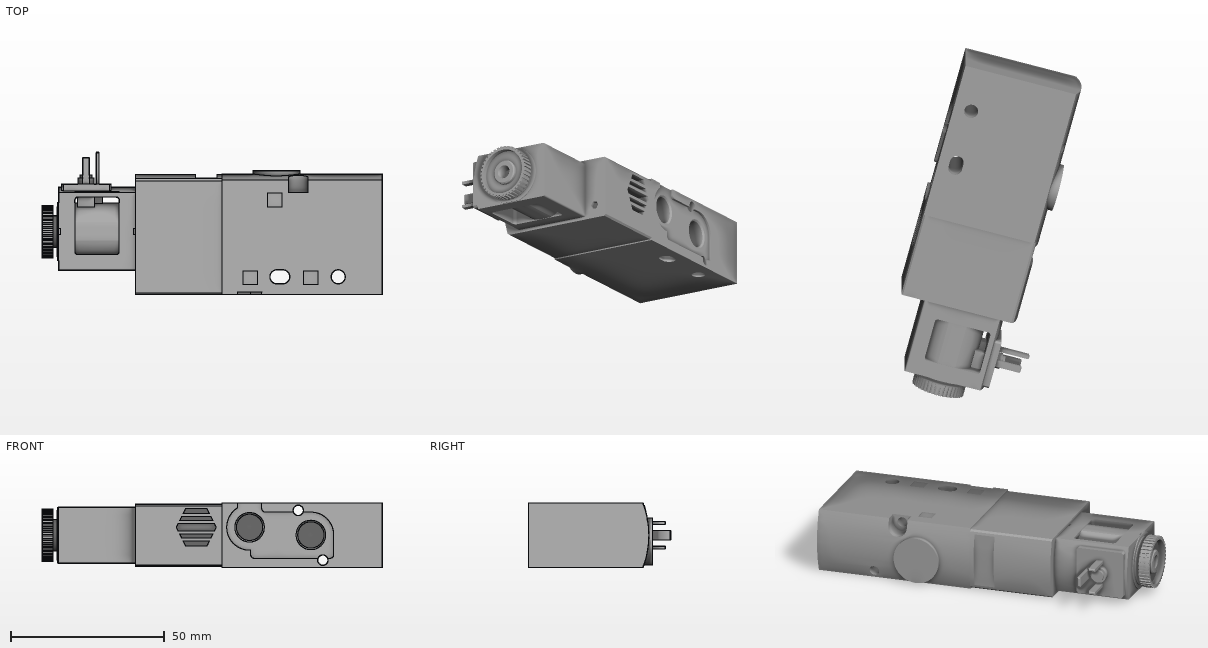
import cadquery as cq
import math


body_length = 52.3
body_half_height = 10.55
pilot_length = 28.1
pilot_half_height = 10.15
bottom_y = -20.5
shoulder_y = 16.8
pilot_shoulder_y = 17.1
crown_y = 18.7
edge_chamfer = 0.55

coil_length = 25.0
coil_half_height = 9.15
coil_bottom_y = -12.6
coil_shoulder_y = 12.8
coil_crown_y = 14.5
coil_bottom_fillet = 0.5
coil_end_x = -pilot_length - coil_length

stem_diameter = 8.0
knob_end_x = -58.5

mount_hole_diameter = 3.3
upper_mount_hole = (24.9, 8.1)
lower_mount_hole = (32.9, -8.1)

port_diameter = 8.57
port_mouth_diameter = 9.6
port_depth = 12.0
port_recess_depth = 0.9
exhaust_port = (9.05, 2.6)
supply_port = (29.0, 0.1)

screw_center = (-16.2, -5.8)
screw_head_diameter = 5.5
screw_head_length = 3.0
screw_shank_diameter = 3.0
screw_thread_length = 6.0
screw_socket_width = 2.4
screw_socket_depth = 1.5


def crowned_block(x_start, length, low_y, side_y, top_y, half_height):
    """Block along +X with a flat -Y face and an arched +Y face."""
    return (
        cq.Workplane("YZ", origin=(x_start, 0, 0))
        .moveTo(low_y, -half_height)
        .lineTo(side_y, -half_height)
        .threePointArc((top_y, 0), (side_y, half_height))
        .lineTo(low_y, half_height)
        .close()
        .extrude(length)
    )


def x_cylinder(x_start, x_end, diameter, y=0.0, z=0.0):
    """Cylinder along X between two X positions."""
    return (
        cq.Workplane("YZ", origin=(x_start, y, z))
        .circle(diameter / 2)
        .extrude(x_end - x_start)
    )


def y_cylinder(y_start, y_end, diameter, x, z):
    """Cylinder along Y between two Y positions."""
    solid = cq.Solid.makeCylinder(
        diameter / 2, y_end - y_start, cq.Vector(x, y_start, z), cq.Vector(0, 1, 0)
    )
    return cq.Workplane(solid)


def block(x_range, y_range, z_range):
    """Axis-aligned box given by its (low, high) limits."""
    sizes = [high - low for low, high in (x_range, y_range, z_range)]
    corner = (x_range[0], y_range[0], z_range[0])
    return cq.Workplane("XY", origin=corner).box(*sizes, centered=False)


def screw_thread():
    """Shank of the fixing screw, from under its head into the valve body."""
    return x_cylinder(
        -pilot_length + screw_head_length, screw_thread_length, screw_shank_diameter, *screw_center
    )


def screw_head():
    """Cylindrical head of the fixing screw, flush with the pilot end face."""
    return x_cylinder(
        -pilot_length, -pilot_length + screw_head_length, screw_head_diameter, *screw_center
    )


def gasket_recess():
    """Recess around the two ports on the -Y face, open to the top face."""
    radius = 7.45
    corner = 1.2
    neck_left = 5.2
    neck_right = 13.0
    step_x = 9.4
    floor_z = -7.5
    port_x, port_z = exhaust_port
    supply_x, supply_z = supply_port
    right_x = supply_x + radius
    upper_edge_z = supply_z + radius
    neck_z = port_z + math.sqrt(radius**2 - (neck_left - port_x) ** 2)
    step_z = port_z - math.sqrt(radius**2 - (step_x - port_x) ** 2)
    diagonal = radius * math.sqrt(0.5)
    return (
        cq.Workplane("XZ", origin=(0, bottom_y + port_recess_depth, 0))
        .moveTo(neck_left, body_half_height)
        .lineTo(neck_left, neck_z)
        .threePointArc((port_x - radius, port_z), (step_x, step_z))
        .lineTo(step_x, floor_z + corner)
        .radiusArc((step_x + corner, floor_z), -corner)
        .lineTo(right_x - corner, floor_z)
        .radiusArc((right_x, floor_z + corner), -corner)
        .lineTo(right_x, supply_z)
        .threePointArc((supply_x + diagonal, supply_z + diagonal), (supply_x, upper_edge_z))
        .lineTo(neck_right + corner, upper_edge_z)
        .radiusArc((neck_right, upper_edge_z + corner), corner)
        .lineTo(neck_right, body_half_height)
        .close()
        .extrude(port_recess_depth)
    )


def port(center):
    """Blind port bored from the -Y face, with a chamfered mouth at the recess floor."""
    recess_floor_y = bottom_y + port_recess_depth
    mouth_depth = (port_mouth_diameter - port_diameter) / 2
    mouth = cq.Solid.makeCone(
        port_mouth_diameter / 2,
        port_diameter / 2,
        mouth_depth,
        cq.Vector(center[0], recess_floor_y, center[1]),
        cq.Vector(0, 1, 0),
    )
    bore = y_cylinder(bottom_y, bottom_y + port_depth, port_diameter, *center)
    return bore.union(cq.Workplane(mouth))


def mount_counterbore():
    """Counterbore of the upper mounting hole, open through the top face."""
    diameter = 6.4
    floor_y = 12.8
    x, z = upper_mount_hole
    slot = block((x - diameter / 2, x + diameter / 2), (floor_y, crown_y), (z, body_half_height))
    return y_cylinder(floor_y, crown_y, diameter, x, z).union(slot)


def top_holes():
    """Round hole and matching slot through the body along Z."""
    diameter = 4.5
    slot_length = 6.4
    hole_y = -14.7
    slot_x = 18.9
    hole_x = 37.9
    plane = cq.Workplane("XY", origin=(0, hole_y, -body_half_height))
    hole = plane.center(hole_x, 0).circle(diameter / 2).extrude(2 * body_half_height)
    slot = plane.center(slot_x, 0).slot2D(slot_length, diameter).extrude(2 * body_half_height)
    return hole.union(slot)


def label_pads():
    """Shallow rectangular label pockets on the top face."""
    length = 4.7
    width = 4.5
    depth = 0.2
    centers = [(9.3, -15.0), (28.9, -15.0), (17.3, 10.3)]
    return (
        cq.Workplane("XY", origin=(0, 0, body_half_height - depth))
        .pushPoints(centers)
        .rect(length, width)
        .extrude(depth)
    )


def make_valve_body():
    boss_diameter = 15.4
    boss_center = (17.8, -2.0)
    boss_top_y = 19.9
    body = crowned_block(0, body_length, bottom_y, shoulder_y, crown_y, body_half_height)
    body = body.union(y_cylinder(shoulder_y, boss_top_y, boss_diameter, *boss_center))
    body = body.cut(gasket_recess())
    for center in (exhaust_port, supply_port):
        body = body.cut(port(center))
    for center in (upper_mount_hole, lower_mount_hole):
        body = body.cut(y_cylinder(bottom_y, crown_y, mount_hole_diameter, *center))
    return body.cut(mount_counterbore()).cut(top_holes()).cut(label_pads()).cut(screw_thread())


def vent_grille():
    """Five parallel slots on the -Y face whose ends follow a hexagon."""
    center_x = -8.3
    center_z = exhaust_port[1]
    depth = 4.0
    half_width = 6.5
    taper = 0.5
    outer_slots = [(2.17, 3.5), (4.5, 6.17)]
    middle_half_height = 1.17

    def half_width_at(height):
        return half_width - taper * abs(height)

    plane = cq.Workplane("XZ", origin=(center_x, bottom_y + depth, center_z))
    middle_end = half_width_at(middle_half_height)
    grille = plane.polyline([
        (-middle_end, -middle_half_height),
        (middle_end, -middle_half_height),
        (half_width, 0),
        (middle_end, middle_half_height),
        (-middle_end, middle_half_height),
        (-half_width, 0),
    ]).close().extrude(depth)
    for near, far in outer_slots:
        for side in (1, -1):
            slot = plane.polyline([
                (-half_width_at(near), side * near),
                (half_width_at(near), side * near),
                (half_width_at(far), side * far),
                (-half_width_at(far), side * far),
            ]).close().extrude(depth)
            grille = grille.union(slot)
    return grille


def make_pilot_housing():
    recess_x = (-8.5, -1.6)
    recess_floor_y = 17.5
    housing = crowned_block(
        -pilot_length, pilot_length, bottom_y, pilot_shoulder_y, crown_y, pilot_half_height
    )
    housing = housing.edges("|X").chamfer(edge_chamfer)
    housing = housing.cut(
        block(recess_x, (recess_floor_y, crown_y), (-pilot_half_height, pilot_half_height))
    )
    return housing.cut(vent_grille()).cut(screw_head()).cut(screw_thread())


def make_screw():
    socket = (
        cq.Workplane("YZ", origin=(-pilot_length, *screw_center))
        .polygon(6, screw_socket_width / math.cos(math.pi / 6))
        .extrude(screw_socket_depth)
    )
    return screw_head().union(screw_thread()).cut(socket)


window_x = (-47.8, -33.4)
window_y = (-7.5, 11.2)
window_corner = 1.0
ledge_z = 6.2


def winding():
    """Winding barrel seen in the window, flattened towards +Z and -Z."""
    radius = 9.4
    blend_y = 3.0
    flat_y = 1.35
    flat_z = 9.05
    blend_z = math.sqrt(radius**2 - blend_y**2)
    mid_y = (blend_y + flat_y) / 2
    mid_z = flat_z - (flat_z - blend_z) / 4
    return (
        cq.Workplane("YZ", origin=(window_x[0], 0, 0))
        .moveTo(-flat_y, flat_z)
        .lineTo(flat_y, flat_z)
        .threePointArc((mid_y, mid_z), (blend_y, blend_z))
        .threePointArc((radius, 0), (blend_y, -blend_z))
        .threePointArc((mid_y, -mid_z), (flat_y, -flat_z))
        .lineTo(-flat_y, -flat_z)
        .threePointArc((-mid_y, -mid_z), (-blend_y, -blend_z))
        .threePointArc((-radius, 0), (-blend_y, blend_z))
        .threePointArc((-mid_y, mid_z), (-flat_y, flat_z))
        .close()
        .extrude(window_x[1] - window_x[0])
    )


def ledge_pocket():
    """Undercut behind the +Y window edge, with a ledge level with the terminal carrier."""
    back_y = 13.0
    ceiling_z = 7.9
    return block(window_x, (window_y[1], back_y), (ledge_z, ceiling_z))


def coil_window():
    """Window through the coil frame along Z."""
    length = window_x[1] - window_x[0]
    width = window_y[1] - window_y[0]
    center = (sum(window_x) / 2, sum(window_y) / 2, 0)
    return (
        cq.Workplane("XY", origin=center)
        .rect(length, width)
        .extrude(coil_half_height, both=True)
        .edges("|Z")
        .fillet(window_corner)
    )


slab_x = (-52.1, -36.0)
slab_top_y = 15.5
slab_half_height = 7.85
slab_corner = 0.6
earth_x = -40.4
blade_x = -44.2


def blade(x, z, x_width, z_width, top_y):
    """Flat contact blade along +Y with a chamfered tip."""
    tip_chamfer = 0.3
    contact = block(
        (x - x_width / 2, x + x_width / 2),
        (coil_shoulder_y, top_y),
        (z - z_width / 2, z + z_width / 2),
    )
    return contact.faces(">Y").edges().chamfer(tip_chamfer)


def terminals():
    """Slab, stepped clamp seat, two contact blades and the earth blade."""
    blade_spacing = 8.0
    blade_width = 2.2
    blade_thickness = 1.0
    blade_top_y = 24.2
    earth_width = 3.2
    earth_top_y = 25.95
    seat_steps = [(5.3, 17.5), (4.0, 18.5)]

    slab = block(slab_x, (coil_shoulder_y, slab_top_y), (-slab_half_height, slab_half_height))
    slab = slab.edges("|Y").chamfer(slab_corner)
    for diameter, top_y in seat_steps:
        slab = slab.union(y_cylinder(slab_top_y, top_y, diameter, blade_x, 0))
    for side in (1, -1):
        z = side * blade_spacing / 2
        slab = slab.union(blade(blade_x, z, blade_width, blade_thickness, blade_top_y))
    return slab.union(blade(earth_x, 0, blade_thickness, earth_width, earth_top_y))


def terminal_roots():
    """Inner ends of the terminals, standing in the window above the winding."""
    block_x = (-47.0, -41.4)
    block_y = (8.0, window_y[1])
    root_x = (block_x[1], -38.8)
    root_y = (9.2, window_y[1])
    root_half_height = 2.5
    carrier = block(block_x, block_y, (-ledge_z, ledge_z))
    return carrier.union(block(root_x, root_y, (-root_half_height, root_half_height)))


def end_notches():
    """Small locating notches in the upper edge at both coil ends."""
    length = 0.6
    half_width = 1.0
    depth = 0.5
    z_range = (coil_half_height - depth, coil_half_height)
    y_range = (-half_width, half_width)
    front = block((coil_end_x, coil_end_x + length), y_range, z_range)
    rear = block((-pilot_length - length, -pilot_length), y_range, z_range)
    return front.union(rear)


flange_steps = [(18.9, 0.3), (16.2, 0.6)]
flange_end_x = coil_end_x - flange_steps[-1][1]


def make_coil():
    coil = crowned_block(
        coil_end_x, coil_length, coil_bottom_y, coil_shoulder_y, coil_crown_y, coil_half_height
    )
    coil = coil.edges("|X and <Y").fillet(coil_bottom_fillet)
    coil = coil.cut(coil_window()).cut(ledge_pocket()).cut(end_notches())
    coil = coil.union(winding()).union(terminal_roots()).union(terminals())
    flange_half_height = 9.0
    flange_half_width = flange_steps[0][0] / 2
    flange_limit = block(
        (flange_end_x, coil_end_x),
        (-flange_half_width, flange_half_width),
        (-flange_half_height, flange_half_height),
    )
    for diameter, height in flange_steps:
        flange = x_cylinder(coil_end_x - height, coil_end_x, diameter)
        coil = coil.union(flange.intersect(flange_limit))
    return coil.cut(x_cylinder(flange_end_x, -pilot_length, stem_diameter))


def make_stem():
    end_setback = 0.6
    end_x = knob_end_x + end_setback
    end_chamfer = 0.4
    cone_mouth_diameter = 4.4
    cone_floor_diameter = 2.8
    cone_depth = 3.0
    vent_diameter = 0.9
    vent_depth = 2.0
    stem = x_cylinder(end_x, -pilot_length, stem_diameter).faces("<X").edges().chamfer(end_chamfer)
    cone = cq.Solid.makeCone(
        cone_mouth_diameter / 2,
        cone_floor_diameter / 2,
        cone_depth,
        cq.Vector(end_x, 0, 0),
        cq.Vector(1, 0, 0),
    )
    vent_start = end_x + cone_depth
    vent = x_cylinder(vent_start, vent_start + vent_depth, vent_diameter)
    return stem.cut(cq.Workplane(cone)).cut(vent)


def make_knob():
    rim_x = -54.9
    rim_diameter = 17.2
    cup_diameter = 14.8
    cup_depth = 2.0
    neck_diameter = 10.4
    tooth_count = 40
    tooth_depth = 0.5
    tooth_gap = 0.6

    knob = x_cylinder(knob_end_x, rim_x, rim_diameter)
    groove = block(
        (knob_end_x, rim_x),
        (rim_diameter / 2 - tooth_depth, rim_diameter / 2 + tooth_depth),
        (-tooth_gap / 2, tooth_gap / 2),
    )
    for index in range(tooth_count):
        angle = index * 360 / tooth_count
        knob = knob.cut(groove.rotate((0, 0, 0), (1, 0, 0), angle))
    knob = knob.cut(x_cylinder(knob_end_x, knob_end_x + cup_depth, cup_diameter))
    knob = knob.union(x_cylinder(rim_x, flange_end_x, neck_diameter))
    return knob.cut(x_cylinder(knob_end_x, flange_end_x, stem_diameter))


valve_body = make_valve_body()
pilot_housing = make_pilot_housing()
screw = make_screw()
coil = make_coil()
stem = make_stem()
knob = make_knob()

result = cq.Compound.makeCompound(
    [valve_body.val(), pilot_housing.val(), screw.val(), coil.val(), stem.val(), knob.val()]
)